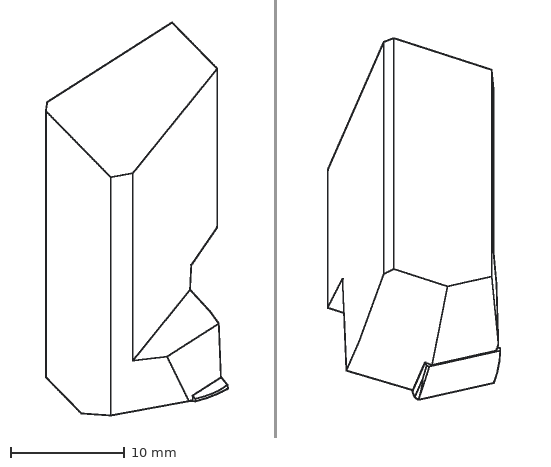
import cadquery as cq
import math

total_height = 43.05
shank_depth = 14.75
front_width = 9.95
back_width = 6.45
flank_width = 10.8
flank_depth = 1.8
corner_chamfer = 0.7
body_bottom = 1.05

head_top = 14.98
shoulder_x = 12.15
shoulder_z = 14.65
nose_x = 12.95
nose_z = 7.65
head_inner_x = 5.15

step_top = 19.25
step_bottom = 18.4
rake_top_y = 11.0
rake_bottom_y = 10.05
rake_skew = 1.7

relief_height = 3.2
relief_depth = 6.85
diagonal_front = 2.6
diagonal_end = 5.85
seat_diagonal = 5.15

insert_back = 10.05
edge_front = 6.03
edge_back = 6.8
edge_bulge = 0.15
insert_inner_low_x = 6.25
insert_inner_high_x = 12.95
end_taper = 0.6
end_bulge = 0.15
low_corner = (6.45, 0.25)
low_tip_x = edge_back
high_tip_x = 13.95
high_corner = (13.85, 7.6)

margin = 4.3
cutter_length = 86.1


def distance_from(diagonal):
    """Perpendicular distance from the plane X = Z to the plane X - Z = diagonal."""
    return diagonal / math.sqrt(2)


def diagonal_plane():
    """Workplane across the cutting edge: local x points outward, local y along Y."""
    return cq.Workplane(
        cq.Plane(origin=(0, 0, 0), xDir=(1, 0, -1), normal=(1, 0, 1))
    )


def extrude_along_y(points, depth):
    """Extrude an X-Z outline from the front face toward +Y."""
    return cq.Workplane("XZ").polyline(points).close().extrude(-depth)


def make_shank():
    outline = [
        (0, corner_chamfer),
        (corner_chamfer, 0),
        (front_width, 0),
        (flank_width, flank_depth),
        (back_width, shank_depth),
        (0, shank_depth),
    ]
    shank = cq.Workplane("XY").workplane(offset=body_bottom).polyline(outline).close()
    return shank.extrude(total_height - body_bottom)


def make_head():
    side_outline = [
        (head_inner_x, body_bottom),
        (head_inner_x, head_top),
        (flank_width, head_top),
        (shoulder_x, shoulder_z),
        (nose_x, nose_z),
        (nose_x, body_bottom),
    ]
    head = extrude_along_y(side_outline, rake_top_y)

    flank_slope = (flank_width - front_width) / flank_depth
    plan = [
        (head_inner_x, 0),
        (front_width, 0),
        (front_width + flank_slope * shank_depth, shank_depth),
        (head_inner_x, shank_depth),
    ]
    return head.intersect(cq.Workplane("XY").polyline(plan).close().extrude(total_height))


def make_rake_cutter():
    step_rise = (step_top - step_bottom) / (shank_depth - rake_top_y)
    points = [
        (rake_bottom_y, body_bottom),
        (rake_top_y, step_bottom),
        (shank_depth + margin, step_top + step_rise * margin),
        (shank_depth + margin, body_bottom),
    ]
    cutter = cq.Workplane("YZ").polyline(points).close().extrude(cutter_length / 2, both=True)
    return cutter.rotate((0, rake_top_y, 0), (0, rake_top_y, 1), -rake_skew)


def make_bottom_cutter():
    points = [(0, relief_height), (relief_depth, body_bottom), (0, body_bottom)]
    return cq.Workplane("YZ").polyline(points).close().extrude(cutter_length)


def make_diagonal_cutter():
    outer = distance_from(edge_back) + margin
    points = [
        (distance_from(diagonal_front), 0),
        (distance_from(diagonal_end), relief_depth),
        (distance_from(seat_diagonal), relief_depth),
        (distance_from(seat_diagonal), shank_depth + margin),
        (outer, shank_depth + margin),
        (outer, 0),
    ]
    return diagonal_plane().polyline(points).close().extrude(cutter_length, both=True)


def make_holder():
    holder = make_shank().union(make_head())
    holder = holder.cut(make_rake_cutter())
    holder = holder.cut(make_bottom_cutter())
    return holder.cut(make_diagonal_cutter())


def make_end_prism(plane, limit, direction):
    """Region bounded by a clearance curve that reaches limit at the cutting edge.

    The plane has Y as its local y; direction is the sign of outward along its local x.
    """
    seat_limit = limit - direction * end_taper
    middle_limit = limit - direction * (end_taper / 2 - end_bulge)
    inner_limit = limit - direction * cutter_length
    return (
        cq.Workplane(plane)
        .moveTo(inner_limit, relief_depth)
        .lineTo(seat_limit, relief_depth)
        .threePointArc((middle_limit, (relief_depth + insert_back) / 2), (limit, insert_back))
        .lineTo(inner_limit, insert_back)
        .close()
        .extrude(cutter_length, both=True)
    )


def make_insert():
    outline = [
        (insert_inner_low_x, insert_inner_low_x - seat_diagonal),
        low_corner,
        (low_tip_x, low_tip_x - edge_back),
        (high_tip_x, high_tip_x - edge_back),
        high_corner,
        (insert_inner_high_x, insert_inner_high_x - seat_diagonal),
    ]
    blank = extrude_along_y(outline, insert_back)

    inner = distance_from(seat_diagonal)
    middle = distance_from((edge_front + edge_back) / 2 + edge_bulge)
    section = (
        diagonal_plane()
        .moveTo(inner, relief_depth)
        .lineTo(distance_from(edge_front), relief_depth)
        .threePointArc(
            (middle, (relief_depth + insert_back) / 2),
            (distance_from(edge_back), insert_back),
        )
        .lineTo(inner, insert_back)
        .close()
        .extrude(cutter_length, both=True)
    )
    insert_solid = blank.intersect(section)

    insert_solid = insert_solid.intersect(make_end_prism("XY", high_tip_x, 1))
    return insert_solid.intersect(make_end_prism("ZY", low_tip_x - edge_back, -1))


holder = make_holder()
insert = make_insert()
result = cq.Compound.makeCompound([holder.val(), insert.val()])